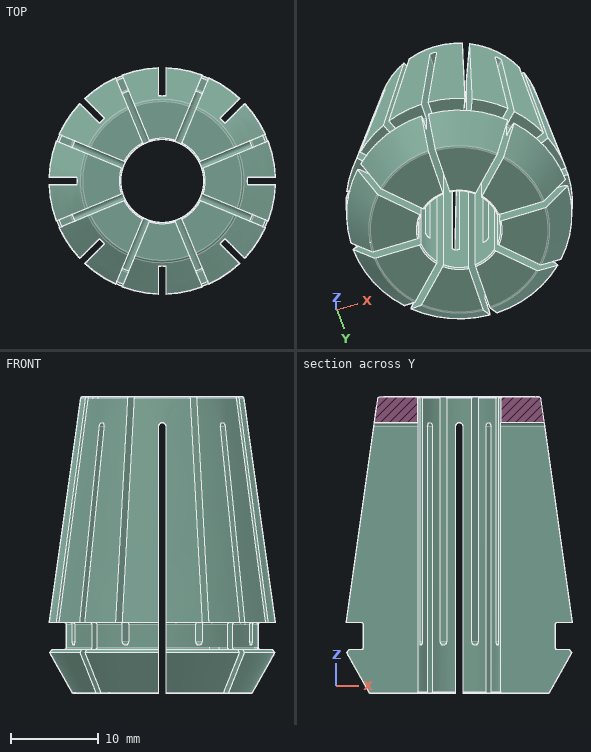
import cadquery as cq
import math

height = 34.0
max_radius = 13.0
bore_radius = 9.5 / 2
taper_angle = 8.0

collar_rim_radius = 10.3
collar_radius = 12.92
collar_edge_height = 4.65
collar_top = 5.03
collar_top_chamfer = 0.27
neck_radius = 11.0
groove_top = 8.1
groove_fillet = 0.2

collar_rim_fillet = 0.2
narrow_rim_fillet = 0.27
bore_chamfer = 0.17

slot_width = 0.8
slot_overrun = slot_width
slots_per_end = 8
slot_pitch = 360 / slots_per_end
collar_slot_end = 31.0
narrow_slot_end = 5.55

top_radius = max_radius - (height - groove_top) * math.tan(math.radians(taper_angle))


def turned_body():
    outline = [
        (bore_radius, 0),
        (collar_rim_radius, 0),
        (collar_radius, collar_edge_height),
        (collar_radius - collar_top_chamfer, collar_top),
        (neck_radius, collar_top),
        (neck_radius, groove_top),
        (max_radius, groove_top),
        (top_radius, height),
        (bore_radius, height),
    ]
    body = cq.Workplane("XZ").polyline(outline).close().revolve(360, (0, 0, 0), (0, 1, 0))
    body = body.edges("%CIRCLE").edges(cq.selectors.RadiusNthSelector(3)).fillet(groove_fillet)
    outermost = cq.selectors.RadiusNthSelector(-1)
    body = body.faces("<Z").edges(outermost).fillet(collar_rim_fillet)
    body = body.faces(">Z").edges(outermost).fillet(narrow_rim_fillet)
    return body.faces("<Z or >Z").edges(cq.selectors.RadiusNthSelector(0)).chamfer(bore_chamfer)


def radial_slot(closed_end, open_end, angle):
    """Slot reaching out from the axis, with a round closed end and running past the open end."""
    half_width = slot_width / 2
    toward_open = math.copysign(1, open_end - closed_end)
    shoulder = closed_end + toward_open * half_width
    return (
        cq.Workplane("YZ")
        .moveTo(-half_width, open_end)
        .lineTo(-half_width, shoulder)
        .threePointArc((0, closed_end), (half_width, shoulder))
        .lineTo(half_width, open_end)
        .close()
        .extrude(2 * max_radius)
        .rotate((0, 0, 0), (0, 0, 1), angle)
    )


result = turned_body()
for index in range(slots_per_end):
    collar_slot_angle = index * slot_pitch
    narrow_slot_angle = collar_slot_angle + slot_pitch / 2
    result = result.cut(radial_slot(collar_slot_end, -slot_overrun, collar_slot_angle))
    result = result.cut(radial_slot(narrow_slot_end, height + slot_overrun, narrow_slot_angle))